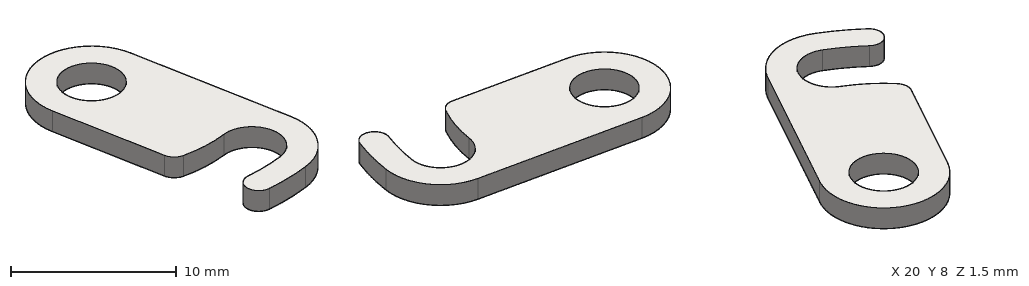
import cadquery as cq
import math

length = 20.0
width = 8.0
thickness = 1.5
hole_diameter = 4.2
heel_radius = 1.0

end_radius = width / 2
hole_radius = hole_diameter / 2
pivot_x = -(length / 2 - end_radius)
hook_x = -pivot_x
pitch = hook_x - pivot_x
tip_radius = (end_radius - hole_radius) / 2

slot_inner_radius = pitch - hole_radius
slot_outer_radius = pitch + hole_radius
finger_outer_radius = pitch + end_radius
finger_middle_radius = slot_outer_radius + tip_radius


def swing_point(radius, angle):
    """Point at a radius and angle (radians) about the pivot hole."""
    return (pivot_x + radius * math.cos(angle), radius * math.sin(angle))


tip_angle = -math.asin((end_radius - tip_radius) / finger_middle_radius)
heel_angle = -math.asin((end_radius - heel_radius) / (slot_inner_radius - heel_radius))
heel_center = swing_point(slot_inner_radius - heel_radius, heel_angle)
heel_mid_angle = (heel_angle - math.pi / 2) / 2
heel_mid = (
    heel_center[0] + heel_radius * math.cos(heel_mid_angle),
    heel_center[1] + heel_radius * math.sin(heel_mid_angle),
)

tip_center = swing_point(finger_middle_radius, tip_angle)
tip_end = (
    tip_center[0] + tip_radius * math.sin(tip_angle),
    tip_center[1] - tip_radius * math.cos(tip_angle),
)

diagonal = math.sqrt(0.5)

outline = (
    cq.Workplane("XY")
    .moveTo(pivot_x, end_radius)
    .lineTo(hook_x, end_radius)
    .threePointArc((hook_x + end_radius * diagonal, end_radius * diagonal), (length / 2, 0))
    .threePointArc(
        swing_point(finger_outer_radius, tip_angle / 2),
        swing_point(finger_outer_radius, tip_angle),
    )
    .threePointArc(tip_end, swing_point(slot_outer_radius, tip_angle))
    .threePointArc(swing_point(slot_outer_radius, tip_angle / 2), (hook_x + hole_radius, 0))
    .threePointArc((hook_x, hole_radius), (hook_x - hole_radius, 0))
    .threePointArc(
        swing_point(slot_inner_radius, heel_angle / 2),
        swing_point(slot_inner_radius, heel_angle),
    )
    .threePointArc(heel_mid, (heel_center[0], -end_radius))
    .lineTo(pivot_x, -end_radius)
    .threePointArc((-length / 2, 0), (pivot_x, end_radius))
    .close()
)

plate = outline.extrude(thickness)
pivot_hole = cq.Workplane("XY").center(pivot_x, 0).circle(hole_radius).extrude(thickness)

result = plate.cut(pivot_hole)